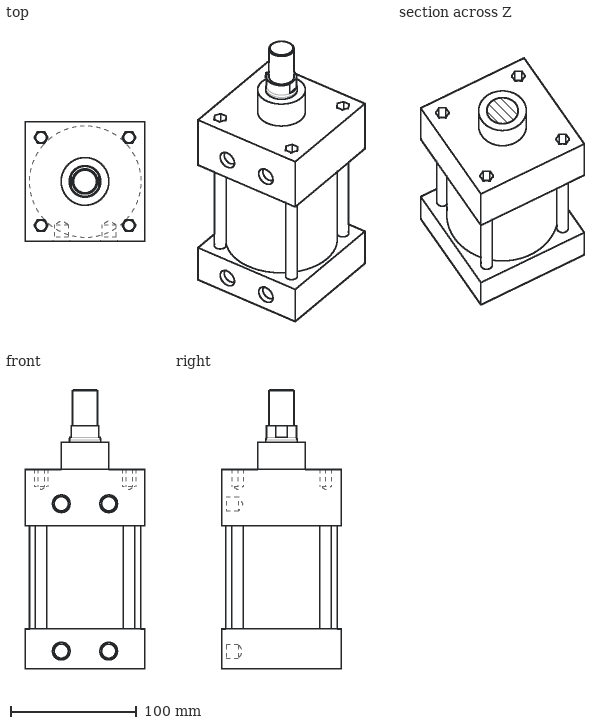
import cadquery as cq
import math

BLOCK_SIDE = 95.3
BASE_HEIGHT = 32.0
HEAD_BOTTOM = 114.0
HEAD_TOP = 159.0
BOSS_TOP = 180.7
TOTAL_HEIGHT = 222.2

BARREL_DIAMETER = 89.0
BOSS_DIAMETER = 38.0
TIE_ROD_DIAMETER = 9.3
TIE_ROD_SPACING = 70.0

SOCKET_ACROSS_FLATS = 9.3
SOCKET_DEPTH = 13.3
SOCKET_POINT_DIAMETER = 8.7

PORT_SPACING = 37.8
PORT_DIAMETER = 11.3
PORT_MOUTH_DIAMETER = 14.0
PORT_TAPER_DEPTH = 3.8
PORT_DEPTH = 13.3
BASE_PORT_HEIGHT = 14.2
HEAD_PORT_HEIGHT = 131.5
DRILL_POINT_ANGLE = 118.0

COLLAR_DIAMETER = 25.1
COLLAR_TOP = 182.7
NECK_BOTTOM = 184.7
NECK_DIAMETER = 24.0
NECK_TOP = 193.8
FLATS_WIDTH = 22.2
TIP_DIAMETER = 20.0
TIP_CHAMFER = 1.0


def cylinder(diameter, bottom, top):
    return cq.Workplane("XY").workplane(offset=bottom).circle(diameter / 2).extrude(top - bottom)


def block(bottom, top):
    height = top - bottom
    return cq.Workplane("XY").workplane(offset=bottom).rect(BLOCK_SIDE, BLOCK_SIDE).extrude(height)


def drill_point_length(diameter):
    return diameter / 2 / math.tan(math.radians(DRILL_POINT_ANGLE / 2))


def make_socket():
    """Cutter below the origin: hexagon with corners on the X axis, over a conical point."""
    corner_diameter = SOCKET_ACROSS_FLATS / math.cos(math.radians(30))
    hexagon = cq.Workplane("XY").polygon(6, corner_diameter).extrude(-SOCKET_DEPTH)
    point = cq.Solid.makeCone(
        SOCKET_POINT_DIAMETER / 2,
        0,
        drill_point_length(SOCKET_POINT_DIAMETER),
        cq.Vector(0, 0, -SOCKET_DEPTH),
        cq.Vector(0, 0, -1),
    )
    return hexagon.union(cq.Workplane(point))


def make_port():
    """Cutter along +Y from the origin: tapered mouth, bore and conical drill point."""
    radius = PORT_DIAMETER / 2
    return (
        cq.Workplane("XY")
        .polyline([
            (0, 0),
            (PORT_MOUTH_DIAMETER / 2, 0),
            (radius, PORT_TAPER_DEPTH),
            (radius, PORT_DEPTH),
            (0, PORT_DEPTH + drill_point_length(PORT_DIAMETER)),
        ])
        .close()
        .revolve(360, (0, 0, 0), (0, 1, 0))
    )


def make_housing():
    """Base, barrel, head, boss and tie rods in one piece, with the sockets and air ports cut out."""
    housing = block(0, BASE_HEIGHT)
    housing = housing.union(block(HEAD_BOTTOM, HEAD_TOP))
    housing = housing.union(cylinder(BARREL_DIAMETER, BASE_HEIGHT, HEAD_BOTTOM))
    housing = housing.union(cylinder(BOSS_DIAMETER, HEAD_TOP, BOSS_TOP))

    tie_rod = cylinder(TIE_ROD_DIAMETER, BASE_HEIGHT, HEAD_BOTTOM)
    socket = make_socket()
    for side_x in (-1, 1):
        for side_y in (-1, 1):
            x = side_x * TIE_ROD_SPACING / 2
            y = side_y * TIE_ROD_SPACING / 2
            housing = housing.union(tie_rod.translate((x, y, 0)))
            housing = housing.cut(socket.translate((x, y, HEAD_TOP)))

    port = make_port()
    for height in (BASE_PORT_HEIGHT, HEAD_PORT_HEIGHT):
        for side_x in (-1, 1):
            x = side_x * PORT_SPACING / 2
            housing = housing.cut(port.translate((x, -BLOCK_SIDE / 2, height)))
    return housing


def make_piston_rod():
    """Rod standing on the boss: collar, conical shoulder, neck with wrench flats and chamfered tip."""
    collar = cylinder(COLLAR_DIAMETER, BOSS_TOP, COLLAR_TOP)
    shoulder_height = NECK_BOTTOM - COLLAR_TOP
    shoulder = (
        cq.Workplane("XY")
        .workplane(offset=COLLAR_TOP)
        .circle(COLLAR_DIAMETER / 2)
        .workplane(offset=shoulder_height)
        .circle(NECK_DIAMETER / 2)
        .loft(ruled=True)
    )
    neck = cylinder(NECK_DIAMETER, NECK_BOTTOM, NECK_TOP)
    flats = (
        cq.Workplane("XY")
        .workplane(offset=NECK_BOTTOM)
        .rect(FLATS_WIDTH, NECK_DIAMETER)
        .extrude(NECK_TOP - NECK_BOTTOM)
    )
    neck = neck.intersect(flats)
    tip = cylinder(TIP_DIAMETER, NECK_TOP, TOTAL_HEIGHT).faces(">Z").chamfer(TIP_CHAMFER)
    return collar.union(shoulder).union(neck).union(tip)


housing = make_housing()
piston_rod = make_piston_rod()

result = cq.Compound.makeCompound([housing.val(), piston_rod.val()])